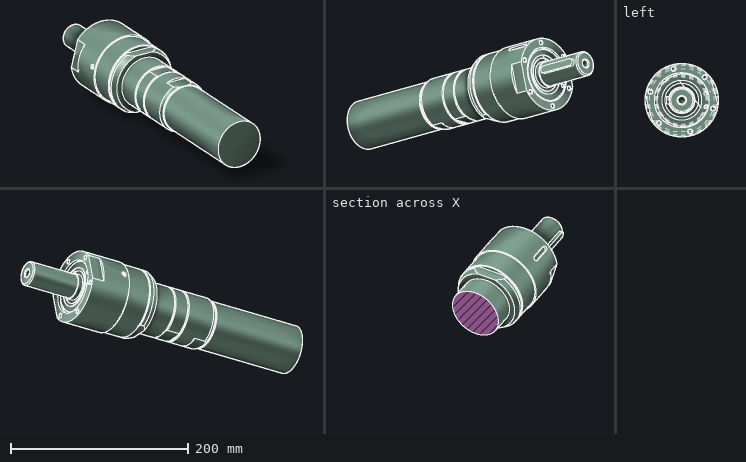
import cadquery as cq
import math

overall_length = 353.2

shaft_diameter = 28.0
shaft_chamfer = 1.5
collar_diameter = 30.0
collar_start = 59.6

head_diameter = 83.0
head_start = 61.8
head_end = 111.0

ring_diameter = 80.0
ring_end = 139.6
ring_chamfer = 0.7

large_nut_diameter = 80.0
large_nut_neck_diameter = 78.0
large_nut_start = 140.4
large_nut_cone_start = 145.0
large_nut_end = 151.6
large_nut_end_diameter = 73.29
large_nut_across_flats = 70.0

barrel_diameter = 60.0
barrel_chamfer = 1.0
barrel_end = 180.4
small_nut_end = 198.2
small_nut_across_flats = 55.0
rear_flats_start = 218.6
rear_cone_start = 232.0
rear_barrel_end = 236.2
rear_barrel_end_diameter = 56.5

tube_diameter = 56.0
tube_start = 237.2
tube_neck_diameter = 54.5
tube_chamfer = 0.5

drill_point_angle = 118.0

recess_diameter = 62.0
recess_depth = 3.5
insert_diameter = 59.0
insert_offset = -1.5
insert_height = 1.5
seal_outer_diameter = 45.0
seal_inner_diameter = 38.0
seal_step = 0.75
pin_hole_diameter = 4.0
pin_hole_depth = 5.0
pin_hole_y = -27.0
pin_hole_z = 7.6

screw_count = 6
screw_circle_diameter = 73.0
screw_first_angle = 15.0
screw_hole_diameter = 4.5
screw_sink_diameter = 5.5
screw_hole_depth = 6.0

head_across_flats = 76.0
head_flat_length = 15.0
head_flat_angle = 165.0
side_hole_x = 104.8
side_hole_diameter = 5.5
side_hole_depth = 2.0
side_bore_diameter = 4.0
side_bore_depth = 8.0
slot_start = 66.2
slot_end = 92.4
slot_width = 5.5
slot_depth = 3.0
slot_angle = 45.0

center_hole_diameter = 8.5
center_sink_diameter = 10.6
center_hole_depth = 12.0
key_start = 4.6
key_length = 50.0
key_width = 8.0
key_height = 7.0
key_top = 17.0


def revolve_profile(stations):
    """Solid of revolution about X from (x, diameter) stations."""
    points = [(x, diameter / 2) for x, diameter in stations]
    outline = [(stations[0][0], 0)] + points
    if stations[-1][1] > 0:
        outline.append((stations[-1][0], 0))
    return cq.Workplane("XY").polyline(outline).close().revolve(360, (0, 0, 0), (1, 0, 0))


def disc(x_start, x_end, diameter, y=0.0, z=0.0):
    """Cylinder along X."""
    plane = cq.Workplane("YZ", origin=(x_start, y, z))
    return plane.circle(diameter / 2).extrude(x_end - x_start)


def drilled_hole(x_start, depth, diameter, y=0.0, z=0.0):
    """Blind hole along X with a conical drill point."""
    point_length = diameter / 2 / math.tan(math.radians(drill_point_angle / 2))
    hole = revolve_profile([(0, diameter), (depth, diameter), (depth + point_length, 0)])
    return hole.translate((x_start, y, z))


def sink(x_start, sink_diameter, hole_diameter):
    """45 degree countersink along X at the mouth of a hole."""
    depth = (sink_diameter - hole_diameter) / 2
    return revolve_profile([(0, sink_diameter), (depth, hole_diameter)]).translate((x_start, 0, 0))


def turn(shape, angle):
    """Turn a shape about the X axis, from +Y towards +Z."""
    return shape.rotate((0, 0, 0), (1, 0, 0), angle)


def cut_flats(body, x_start, x_end, across_flats, angle):
    """Two parallel flats whose normals lie at the given angle."""
    block = head_diameter
    length = x_end - x_start
    for side in (0, 180):
        cutter = cq.Workplane("XY").box(length, block, block, centered=(False, False, True))
        cutter = cutter.translate((x_start, across_flats / 2, 0))
        body = body.cut(turn(cutter, angle + side))
    return body


def turned_body():
    """Shaft, collar, head, nuts, barrel and tube as one solid of revolution."""
    barrel_chamfered = barrel_diameter - 2 * barrel_chamfer
    return revolve_profile([
        (0, shaft_diameter - 2 * shaft_chamfer),
        (shaft_chamfer, shaft_diameter),
        (collar_start, shaft_diameter),
        (collar_start, collar_diameter),
        (head_start, collar_diameter),
        (head_start, head_diameter),
        (head_end, head_diameter),
        (head_end, ring_diameter),
        (ring_end - ring_chamfer, ring_diameter),
        (ring_end, ring_diameter - 2 * ring_chamfer),
        (ring_end, large_nut_neck_diameter),
        (large_nut_start, large_nut_neck_diameter),
        (large_nut_start, large_nut_diameter),
        (large_nut_cone_start, large_nut_diameter),
        (large_nut_end, large_nut_end_diameter),
        (large_nut_end, barrel_diameter),
        (barrel_end - barrel_chamfer, barrel_diameter),
        (barrel_end, barrel_chamfered),
        (barrel_end + barrel_chamfer, barrel_diameter),
        (small_nut_end - barrel_chamfer, barrel_diameter),
        (small_nut_end, barrel_chamfered),
        (small_nut_end + barrel_chamfer, barrel_diameter),
        (rear_cone_start, barrel_diameter),
        (rear_barrel_end, rear_barrel_end_diameter),
        (rear_barrel_end, tube_neck_diameter),
        (tube_start, tube_neck_diameter),
        (tube_start + tube_chamfer, tube_diameter),
        (overall_length, tube_diameter),
    ])


def cut_wrench_flats(body):
    body = cut_flats(body, head_start, head_start + head_flat_length, head_across_flats, head_flat_angle)
    body = cut_flats(body, ring_end, large_nut_end, large_nut_across_flats, 90)
    body = cut_flats(body, barrel_end, small_nut_end, small_nut_across_flats, 90)
    return cut_flats(body, rear_flats_start, rear_barrel_end, small_nut_across_flats, 90)


def cut_front_face(body):
    recess_floor = head_start + recess_depth
    insert_face = recess_floor - insert_height
    recess = disc(head_start, recess_floor, recess_diameter)
    insert = disc(insert_face, recess_floor, insert_diameter, insert_offset)
    outer_step = disc(insert_face, insert_face + seal_step, seal_outer_diameter)
    inner_step = disc(insert_face, insert_face + 2 * seal_step, seal_inner_diameter)
    collar = disc(head_start, recess_floor, collar_diameter)
    body = body.cut(recess.cut(insert).union(outer_step).union(inner_step).cut(collar))
    for z in (-pin_hole_z, pin_hole_z):
        body = body.cut(drilled_hole(insert_face, pin_hole_depth, pin_hole_diameter, pin_hole_y, z))
    hole = drilled_hole(head_start, screw_hole_depth, screw_hole_diameter)
    hole = hole.union(sink(head_start, screw_sink_diameter, screw_hole_diameter))
    hole = hole.translate((0, screw_circle_diameter / 2, 0))
    for index in range(screw_count):
        body = body.cut(turn(hole, screw_first_angle + index * 360 / screw_count))
    return body


def cut_head_side(body):
    head_radius = head_diameter / 2
    mouth = cq.Workplane("XZ", origin=(side_hole_x, head_radius, 0))
    hole = mouth.circle(side_hole_diameter / 2).extrude(side_hole_depth)
    bore = mouth.circle(side_bore_diameter / 2).extrude(side_bore_depth)
    body = body.cut(turn(hole.union(bore), head_flat_angle))
    slot_middle = (slot_start + slot_end) / 2
    slot = cq.Workplane("XZ", origin=(slot_middle, head_radius, 0))
    slot = slot.slot2D(slot_end - slot_start, slot_width).extrude(slot_depth)
    return body.cut(turn(slot, slot_angle))


def finish_shaft(body):
    key = cq.Workplane("XZ", origin=(key_start + key_length / 2, key_top, 0))
    key = key.slot2D(key_length, key_width).extrude(key_height)
    center_hole = drilled_hole(0, center_hole_depth, center_hole_diameter)
    center_sink = sink(0, center_sink_diameter, center_hole_diameter)
    return body.union(key).cut(center_hole.union(center_sink))


result = turned_body()
result = cut_wrench_flats(result)
result = cut_front_face(result)
result = cut_head_side(result)
result = finish_shaft(result)